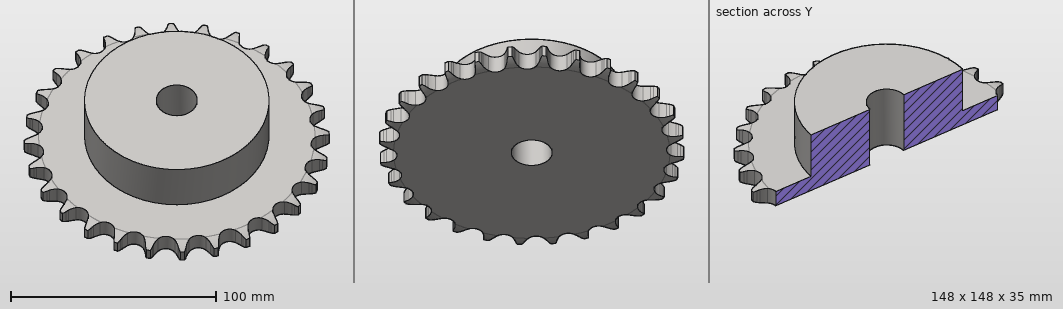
import cadquery as cq
import math

tooth_count = 28
tip_diameter = 148.7
disc_thickness = 9.2
total_height = 35.0
hub_diameter = 90.0
bore_diameter = 20.0

pitch_diameter = 141.8
seat_radius = 5.2
working_radius = 13.3
flat_length = 1.38
topping_radius = 8.3

seat_slope = 55 - 60 / tooth_count
flat_slope = seat_slope + 18 - 56 / tooth_count
topping_sweep = 20
outer_slope = flat_slope - topping_sweep

relief_radius = 16.0
relief_depth = 1.6

tip_radius = tip_diameter / 2
root_radius = pitch_diameter / 2 - seat_radius


def point_on_arc(start, radius, start_slope, slope):
    """Point where an arc from start reaches a slope; a negative radius curves outwards."""
    first = math.radians(start_slope)
    last = math.radians(slope)
    x = start[0] + radius * (math.sin(last) - math.sin(first))
    y = start[1] + radius * (math.cos(first) - math.cos(last))
    return x, y


def add_arc(outline, start, radius, start_slope, end_slope):
    """Add an arc to the outline and return the outline with its new end point."""
    middle = point_on_arc(start, radius, start_slope, (start_slope + end_slope) / 2)
    end = point_on_arc(start, radius, start_slope, end_slope)
    return outline.threePointArc(middle, end), end


def tooth_gap():
    """Cutter for one gap, centred on +Y and reaching past the tooth tips."""
    point = (0, root_radius)
    outline = cq.Workplane("XY").moveTo(*point)
    outline, point = add_arc(outline, point, seat_radius, 0, seat_slope)
    outline, point = add_arc(outline, point, working_radius, seat_slope, flat_slope)
    slope = math.radians(flat_slope)
    point = (point[0] + flat_length * math.cos(slope), point[1] + flat_length * math.sin(slope))
    outline = outline.lineTo(*point)
    outline, point = add_arc(outline, point, -topping_radius, flat_slope, outer_slope)
    outline = outline.lineTo(point[0], tip_diameter).lineTo(0, tip_diameter)
    return outline.mirrorY().extrude(disc_thickness)


def disc_blank():
    """Disc whose rim is relieved by an arc tangent to each flat face."""
    relief_width = math.sqrt(relief_radius**2 - (relief_radius - relief_depth) ** 2)
    flat_radius = tip_radius - relief_width
    half_angle = math.asin(relief_width / relief_radius) / 2
    mid_radius = flat_radius + relief_radius * math.sin(half_angle)
    mid_depth = relief_radius * (1 - math.cos(half_angle))
    section = (
        cq.Workplane("XZ")
        .lineTo(flat_radius, 0)
        .threePointArc((mid_radius, mid_depth), (tip_radius, relief_depth))
        .lineTo(tip_radius, disc_thickness - relief_depth)
        .threePointArc((mid_radius, disc_thickness - mid_depth), (flat_radius, disc_thickness))
        .lineTo(0, disc_thickness)
        .close()
    )
    return section.revolve(360, (0, 0, 0), (0, 1, 0))


gap_angle = 360 / tooth_count
result = disc_blank()
gap = tooth_gap()
for index in range(tooth_count):
    result = result.cut(gap.rotate((0, 0, 0), (0, 0, 1), index * gap_angle))

hub = cq.Workplane("XY").circle(hub_diameter / 2).extrude(total_height)
bore = cq.Workplane("XY").circle(bore_diameter / 2).extrude(total_height)
result = result.union(hub).cut(bore)